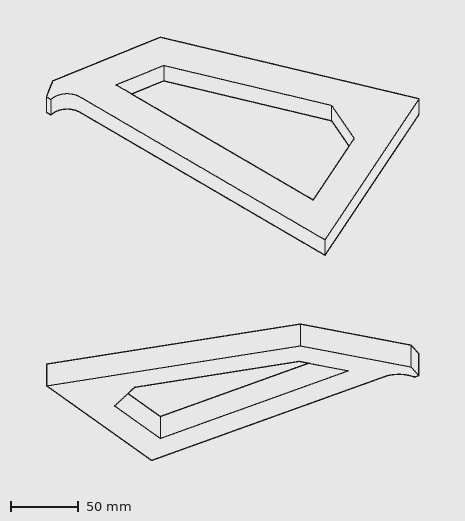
import cadquery as cq
import math

length = 263.7
width = 150.0
thickness = 18.0
rim = 25.3
left_bevel = 63.5
front_angle = 20.0
right_angle = 10.0
hook_left_y = -79.5
notch_end_x = 24.0
notch_radius = 15.8
notch_start_angle = 157.0
window_corner_x = 203.8

front_slope = math.tan(math.radians(front_angle))
right_slope = math.tan(math.radians(right_angle))
front_corner = (length - width * right_slope, -width)


def front_edge_y(x):
    """Y of the sloping front edge at the given x."""
    return front_corner[1] + (front_corner[0] - x) * front_slope


tangent_angle = 90.0 - front_angle
notch_end = (notch_end_x, front_edge_y(notch_end_x))
notch_center_x = notch_end[0] - notch_radius * math.cos(math.radians(tangent_angle))
notch_center_y = notch_end[1] - notch_radius * math.sin(math.radians(tangent_angle))


def notch_point(angle):
    """Point on the notch circle at an angle in degrees from +X."""
    turn = math.radians(angle)
    return (
        notch_center_x + notch_radius * math.cos(turn),
        notch_center_y + notch_radius * math.sin(turn),
    )


hook_tip = notch_point(notch_start_angle)
notch_middle = notch_point((notch_start_angle + tangent_angle) / 2)

plate = (
    cq.Workplane("XY")
    .moveTo(left_bevel, 0)
    .lineTo(length, 0)
    .lineTo(*front_corner)
    .lineTo(*notch_end)
    .threePointArc(notch_middle, hook_tip)
    .lineTo(0, hook_left_y)
    .lineTo(0, -left_bevel)
    .close()
    .extrude(thickness)
)

bevel_side_offset = left_bevel + rim * math.sqrt(2)
front_rim_y = rim / math.cos(math.radians(front_angle))
right_side_offset = length - rim / math.cos(math.radians(right_angle))
front_side_start = front_edge_y(0) + front_rim_y

left_x = (front_side_start + bevel_side_offset) / (1 + front_slope)
right_front_x = (right_side_offset + right_slope * front_side_start) / (1 + right_slope * front_slope)
corner_diagonal = window_corner_x - rim
right_back_x = (right_side_offset + right_slope * corner_diagonal) / (1 + right_slope)
window_points = [
    (bevel_side_offset - rim, -rim),
    (window_corner_x, -rim),
    (right_back_x, corner_diagonal - right_back_x),
    (right_front_x, front_side_start - front_slope * right_front_x),
    (left_x, left_x - bevel_side_offset),
]
window = cq.Workplane("XY").polyline(window_points).close().extrude(thickness)

result = plate.cut(window)